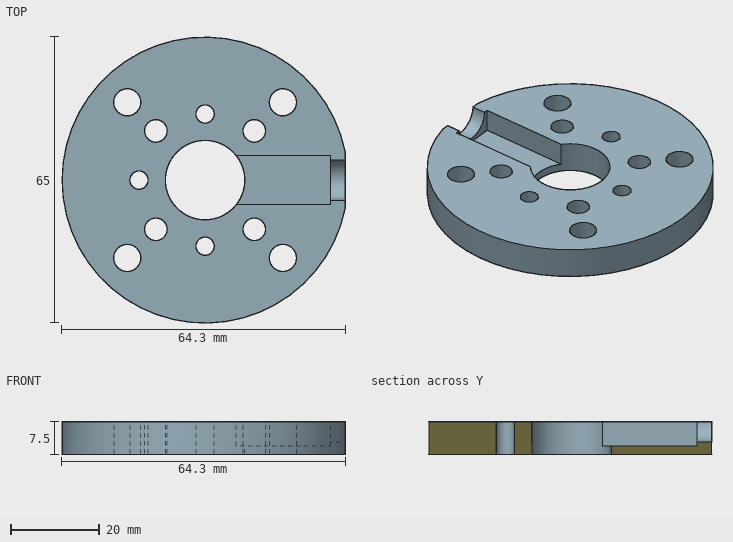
import cadquery as cq

disc_diameter = 65.0
thickness = 7.5
flat_x = 31.85

bore_diameter = 18.0
channel_width = 11.2
channel_depth = 5.5
channel_end_x = 28.5
groove_diameter = 9.2

pin_hole_diameter = 4.1
pin_hole_radius = 15.0
inner_hole_diameter = 5.1
inner_hole_offset = 11.2
outer_hole_diameter = 6.1
outer_hole_offset = 17.7


def make_disc():
    """Disc standing on Z = 0, cut straight at the flat."""
    disc = cq.Workplane("XY").circle(disc_diameter / 2).extrude(thickness)
    beyond_flat = cq.Workplane("XY").box(
        disc_diameter, disc_diameter, thickness, centered=(False, True, False)
    )
    return disc.cut(beyond_flat.translate((flat_x, 0, 0)))


def through_holes(points, diameter):
    return cq.Workplane("XY").pushPoints(points).circle(diameter / 2).extrude(thickness)


def square_corners(offset):
    return [(x, y) for x in (-offset, offset) for y in (-offset, offset)]


def make_channel():
    """Flat-bottomed channel, open at the top and into the bore."""
    channel = cq.Workplane("XY").box(
        channel_end_x, channel_width, channel_depth, centered=(False, True, False)
    )
    return channel.translate((0, 0, thickness - channel_depth))


def make_groove():
    """Half-round groove from the channel out through the flat."""
    return (
        cq.Workplane("YZ", origin=(0, 0, thickness))
        .circle(groove_diameter / 2)
        .extrude(disc_diameter / 2)
    )


pin_hole_points = [(-pin_hole_radius, 0), (0, pin_hole_radius), (0, -pin_hole_radius)]

result = (
    make_disc()
    .cut(through_holes([(0, 0)], bore_diameter))
    .cut(through_holes(pin_hole_points, pin_hole_diameter))
    .cut(through_holes(square_corners(inner_hole_offset), inner_hole_diameter))
    .cut(through_holes(square_corners(outer_hole_offset), outer_hole_diameter))
    .cut(make_channel())
    .cut(make_groove())
)